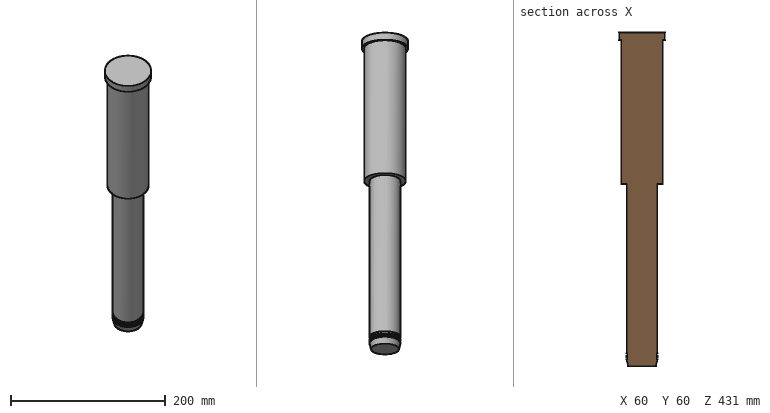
import cadquery as cq

total_height = 431.0
head_height = 10.0
sleeve_bottom = 235.5

head_diameter = 60.0
sleeve_diameter = 54.0
post_diameter = 40.0

foot_diameter = 36.0
taper_height = 7.5

groove_depth = 1.0
groove_diameter = post_diameter - 2 * groove_depth
groove_spans = [(9.0, 11.5), (14.0, 17.0)]


def cylinder(diameter, bottom, top):
    """Solid cylinder on the Z axis between two heights."""
    return cq.Workplane("XY").workplane(offset=bottom).circle(diameter / 2).extrude(top - bottom)


def ring_groove(bottom, top):
    """Ring of material to remove from the outside of the post."""
    return cylinder(head_diameter, bottom, top).cut(cylinder(groove_diameter, bottom, top))


foot = (
    cq.Workplane("XY")
    .circle(foot_diameter / 2)
    .workplane(offset=taper_height)
    .circle(post_diameter / 2)
    .loft(ruled=True)
)

head_bottom = total_height - head_height
result = (
    foot
    .union(cylinder(post_diameter, taper_height, sleeve_bottom))
    .union(cylinder(sleeve_diameter, sleeve_bottom, head_bottom))
    .union(cylinder(head_diameter, head_bottom, total_height))
)

for groove_bottom, groove_top in groove_spans:
    result = result.cut(ring_groove(groove_bottom, groove_top))